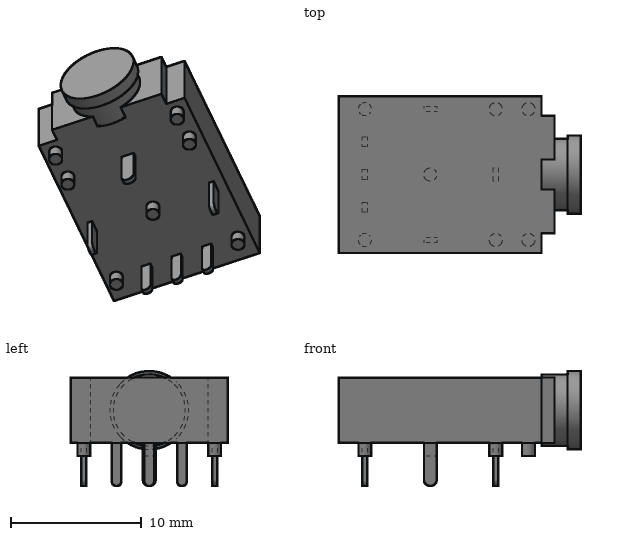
import cadquery as cq

HOUSING_LENGTH = 15.5
HOUSING_WIDTH = 12.0
HOUSING_HEIGHT = 5.0
NOSE_LENGTH = 1.0
NOSE_WIDTH = 9.0

NECK_DIAMETER = 5.5
NECK_LENGTH = 2.0
FLANGE_DIAMETER = 6.0
FLANGE_LENGTH = 1.0
AXIS_HEIGHT = HOUSING_HEIGHT / 2

REAR_ROW_X = 2.0
MIDDLE_ROW_X = 7.0
FRONT_ROW_X = 12.0
NOSE_ROW_X = 14.5
SIDE_ROW_Y = 5.0
REAR_PIN_PITCH = 2.5

PEG_DIAMETER = 1.0
PEG_HEIGHT = 1.0

PIN_DROP = 3.3
PIN_THICKNESS = 0.4
NARROW_PIN_WIDTH = 0.75
WIDE_PIN_WIDTH = 1.0


def flat_pin(x, y, width, turn=0):
    """Pin hanging from Z = 0 with its width along X, turned about Z by the given degrees."""
    radius = width / 2
    tip_start = radius - PIN_DROP
    pin = (
        cq.Workplane("XZ")
        .moveTo(-radius, 0)
        .lineTo(-radius, tip_start)
        .threePointArc((0, -PIN_DROP), (radius, tip_start))
        .lineTo(radius, 0)
        .close()
        .extrude(PIN_THICKNESS / 2, both=True)
    )
    return pin.rotate((0, 0, 0), (0, 0, 1), turn).translate((x, y, 0))


def cross_pin(x, y, width):
    """Pin with its width along Y."""
    return flat_pin(x, y, width, turn=90)


def block(start_x, length, width):
    """Full-height block, centred on Y = 0 and standing on Z = 0."""
    return cq.Workplane("XY", origin=(start_x, 0, 0)).box(
        length, width, HOUSING_HEIGHT, centered=(False, True, False)
    )


def make_sleeve():
    """Neck and end flange, coaxial with the middle of the housing height."""
    neck = (
        cq.Workplane("YZ", origin=(HOUSING_LENGTH, 0, AXIS_HEIGHT))
        .circle(NECK_DIAMETER / 2)
        .extrude(NECK_LENGTH)
    )
    return neck.faces(">X").workplane().circle(FLANGE_DIAMETER / 2).extrude(FLANGE_LENGTH)


def make_pegs():
    """Three pairs of pegs along the sides and one peg on the centre line."""
    places = [(MIDDLE_ROW_X, 0)]
    for x in (REAR_ROW_X, FRONT_ROW_X, NOSE_ROW_X):
        places += [(x, -SIDE_ROW_Y), (x, SIDE_ROW_Y)]
    return cq.Workplane("XY").pushPoints(places).circle(PEG_DIAMETER / 2).extrude(-PEG_HEIGHT)


def make_housing():
    """Housing with its nose, sleeve, pegs, row of rear pins and front pin in one piece."""
    housing = block(0, HOUSING_LENGTH, HOUSING_WIDTH)
    housing = housing.union(block(HOUSING_LENGTH, NOSE_LENGTH, NOSE_WIDTH))
    housing = housing.union(make_sleeve())
    housing = housing.union(make_pegs())
    for y in (-REAR_PIN_PITCH, 0, REAR_PIN_PITCH):
        housing = housing.union(cross_pin(REAR_ROW_X, y, NARROW_PIN_WIDTH))
    return housing.union(cross_pin(FRONT_ROW_X, 0, WIDE_PIN_WIDTH))


housing = make_housing()

side_pins = []
for side_y in (-SIDE_ROW_Y, SIDE_ROW_Y):
    side_pins.append(flat_pin(MIDDLE_ROW_X, side_y, WIDE_PIN_WIDTH))

result = cq.Compound.makeCompound([housing.solids().val(), *[pin.solids().val() for pin in side_pins]])